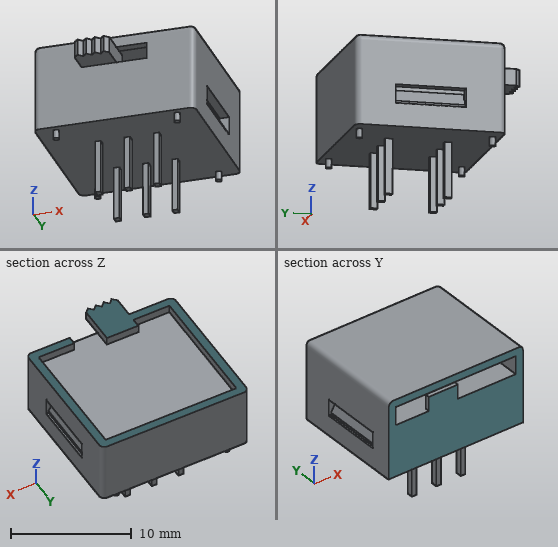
import cadquery as cq


BODY_X = 14.0
BODY_Y = 12.8
BODY_Z = 7.73
EDGE_RADIUS = 0.5
WALL = 0.8

SLOT_WIDTH = 5.65
SLOT_HEIGHT = 1.42
SLOT_FLOOR_Z = 5.18
SLIDER_WIDTH = 3.02
SLIDER_REACH = 2.3
SLIDER_TAIL = 2 * WALL
TOOTH_COUNT = 4
TOOTH_PITCH = SLIDER_WIDTH / TOOTH_COUNT
TOOTH_DEPTH = TOOTH_PITCH / 2

WINDOW_WIDTH = 6.02
WINDOW_HEIGHT = 1.59
WINDOW_FLOOR_Z = 2.0
CATCH_CLEARANCE = 0.05
CATCH_RECESS = 0.21
CATCH_LIP = 0.23
CATCH_HEIGHT = 1.25

PIN_COLUMNS = 3
PIN_ROWS = 2
PIN_PITCH_X = 2.54
PIN_PITCH_Y = 2 * PIN_PITCH_X
PIN_X = 0.48
PIN_Y = 0.6
PIN_LENGTH = 4.7

STUD_DIAMETER = 0.5
STUD_LENGTH = 0.74
STUD_SPACING_X = 10.51
STUD_SPACING_Y = 11.35

FRONT_Y = -BODY_Y / 2
LEFT_X = -BODY_X / 2
SLOT_LEFT_X = -SLOT_WIDTH / 2


def make_housing():
    """Block with rounded upright and top edges and a closed cavity above the base."""
    block = (
        cq.Workplane("XY")
        .box(BODY_X, BODY_Y, BODY_Z, centered=(True, True, False))
        .edges("|Z or >Z")
        .fillet(EDGE_RADIUS)
    )
    cavity = (
        cq.Workplane("XY")
        .workplane(offset=SLOT_FLOOR_Z)
        .rect(BODY_X - 2 * WALL, BODY_Y - 2 * WALL)
        .extrude(BODY_Z - WALL - SLOT_FLOOR_Z)
    )
    return block.cut(cavity)


def make_slot():
    """Opening through the -Y wall into the cavity."""
    return (
        cq.Workplane("XY")
        .box(SLOT_WIDTH, WALL, SLOT_HEIGHT, centered=(True, False, False))
        .translate((0, FRONT_Y, SLOT_FLOOR_Z))
    )


def make_slider():
    """Slider parked at the -X end of the slot, with a row of grip teeth on its tip."""
    tip_y = FRONT_Y - SLIDER_REACH
    valley_y = tip_y + TOOTH_DEPTH
    back_y = FRONT_Y + SLIDER_TAIL
    outline = cq.Workplane("XY").workplane(offset=SLOT_FLOOR_Z)
    outline = outline.moveTo(SLOT_LEFT_X, back_y).lineTo(SLOT_LEFT_X, valley_y)
    for tooth in range(TOOTH_COUNT):
        tooth_x = SLOT_LEFT_X + tooth * TOOTH_PITCH
        outline = outline.lineTo(tooth_x + TOOTH_PITCH / 2, tip_y)
        outline = outline.lineTo(tooth_x + TOOTH_PITCH, valley_y)
    outline = outline.lineTo(SLOT_LEFT_X + SLIDER_WIDTH, back_y).close()
    return outline.extrude(SLOT_HEIGHT)


def make_latch_cut():
    """Space left in the -X wall by the window around its sloped catch."""
    window = (
        cq.Workplane("XY")
        .box(WALL, WINDOW_WIDTH, WINDOW_HEIGHT, centered=(False, True, False))
        .translate((LEFT_X, 0, WINDOW_FLOOR_Z))
    )
    catch_front_x = LEFT_X + CATCH_RECESS
    base_x = LEFT_X + WALL
    catch = (
        cq.Workplane("XZ")
        .polyline([
            (base_x, WINDOW_FLOOR_Z),
            (catch_front_x, WINDOW_FLOOR_Z),
            (catch_front_x, WINDOW_FLOOR_Z + CATCH_LIP),
            (base_x, WINDOW_FLOOR_Z + CATCH_HEIGHT),
        ])
        .close()
        .extrude(WINDOW_WIDTH / 2 - CATCH_CLEARANCE, both=True)
    )
    return window.cut(catch)


def make_pins():
    """Rectangular terminal pins hanging from the underside."""
    return (
        cq.Workplane("XY")
        .rarray(PIN_PITCH_X, PIN_PITCH_Y, PIN_COLUMNS, PIN_ROWS)
        .rect(PIN_X, PIN_Y)
        .extrude(-PIN_LENGTH)
    )


def make_studs():
    """Round locating studs hanging from the underside."""
    return (
        cq.Workplane("XY")
        .rarray(STUD_SPACING_X, STUD_SPACING_Y, 2, 2)
        .circle(STUD_DIAMETER / 2)
        .extrude(-STUD_LENGTH)
    )


latch_cut = make_latch_cut()
housing = make_housing().cut(make_slot()).cut(latch_cut).cut(latch_cut.mirror("YZ"))
result = housing.union(make_slider()).union(make_pins()).union(make_studs())